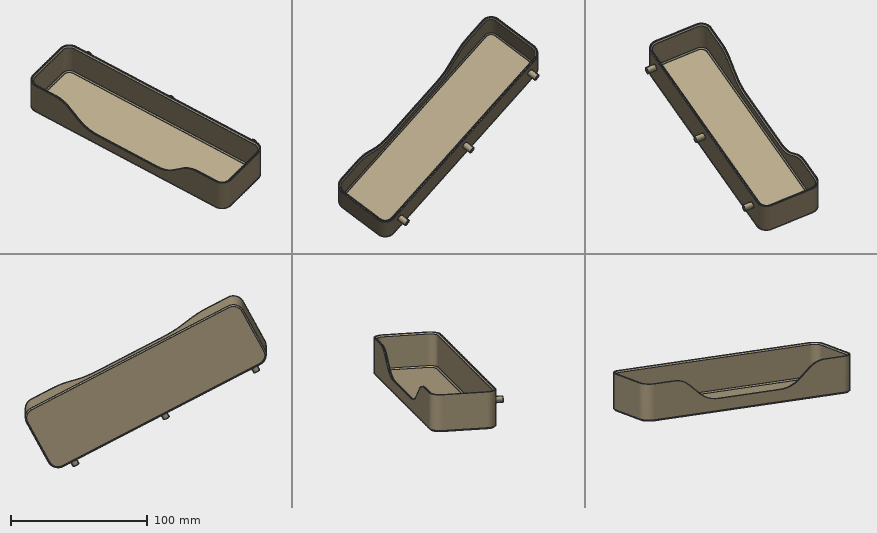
import cadquery as cq
import math

length = 180.0
depth = 50.0
height = 28.0
corner_radius = 8.1
wall = 2.0
floor_thickness = 2.0
edge_chamfer = 1.0

scoop_drop = 18.0
scoop_half_width = 64.8
crest_radius = 20.0
foot_radius = 25.0
ramp_angle = math.radians(40)

pin_diameter = 4.9
pin_length = 7.0
pin_spacing = 75.0
pin_drop = 10.0


def rounded_block(inset, bottom, top):
    """Block with rounded upright corners, set in from the tray outline."""
    return (
        cq.Workplane("XY", origin=(0, 0, bottom))
        .rect(length - 2 * inset, depth - 2 * inset)
        .extrude(top - bottom)
        .edges("|Z")
        .fillet(corner_radius - inset)
    )


def scoop_outline(lowering, y):
    """Closed scoop outline in the XZ plane at y, offset by lowering into the wall."""
    crest = crest_radius - lowering
    foot = foot_radius + lowering
    sine = math.sin(ramp_angle)
    cosine = math.cos(ramp_angle)
    rim = height - lowering
    bottom = rim - scoop_drop
    ramp_rise = scoop_drop - (crest + foot) * (1 - cosine)
    ramp_run = ramp_rise * cosine / sine
    half_sine = math.sin(ramp_angle / 2)
    half_cosine = math.cos(ramp_angle / 2)

    crest_end = (scoop_half_width - crest * sine, rim - crest * (1 - cosine))
    crest_middle = (scoop_half_width - crest * half_sine, rim - crest * (1 - half_cosine))
    foot_start = (crest_end[0] - ramp_run, crest_end[1] - ramp_rise)
    foot_end = (foot_start[0] - foot * sine, bottom)
    foot_middle = (foot_end[0] + foot * half_sine, bottom + foot * (1 - half_cosine))

    def mirrored(point):
        return (-point[0], point[1])

    half_span = length / 2 - corner_radius
    above = height + wall
    return (
        cq.Workplane("XZ", origin=(0, y, 0))
        .moveTo(half_span, above)
        .lineTo(half_span, rim)
        .lineTo(scoop_half_width, rim)
        .threePointArc(crest_middle, crest_end)
        .lineTo(*foot_start)
        .threePointArc(foot_middle, foot_end)
        .lineTo(*mirrored(foot_end))
        .threePointArc(mirrored(foot_middle), mirrored(foot_start))
        .lineTo(*mirrored(crest_end))
        .threePointArc(mirrored(crest_middle), (-scoop_half_width, rim))
        .lineTo(-half_span, rim)
        .lineTo(-half_span, above)
        .close()
        .wire()
        .val()
    )


def loft(first, second):
    """Solid with flat or conical sides between two matching outlines."""
    return cq.Workplane(cq.Solid.makeLoft([first, second], True))


def rim_chamfer():
    """Cutter for the sloping inner edge of the full-height rim."""
    upper = rounded_block(wall - edge_chamfer, 0, height).faces(">Z").wires().val()
    lower = rounded_block(wall, 0, height - edge_chamfer).faces(">Z").wires().val()
    return loft(lower, upper)


def scoop_cutter():
    """Cutter for the scoop, with its inner edge chamfered like the rim."""
    inner_face = wall - depth / 2
    chamfer_start = inner_face - edge_chamfer
    outline = cq.Face.makeFromWires(scoop_outline(0, inner_face))
    opening = cq.Solid.extrudeLinear(outline, cq.Vector(0, -2 * wall, 0))
    chamfer = loft(scoop_outline(0, chamfer_start), scoop_outline(edge_chamfer, inner_face))
    return chamfer.union(cq.Workplane(opening))


def tray():
    """Open tray with chamfered base, floor edge and inner rim, scooped at the front."""
    block = rounded_block(0, 0, height).faces("<Z").chamfer(edge_chamfer)
    cavity = rounded_block(wall, floor_thickness, height).faces("<Z").chamfer(edge_chamfer)
    return block.cut(cavity).cut(rim_chamfer()).cut(scoop_cutter())


def pins():
    """Row of round pins starting inside the back wall."""
    return (
        cq.Workplane("XZ", origin=(0, depth / 2 - wall / 2, height - pin_drop))
        .pushPoints([(place * pin_spacing, 0) for place in (-1, 0, 1)])
        .circle(pin_diameter / 2)
        .extrude(-(pin_length + wall / 2))
    )


result = tray().union(pins())